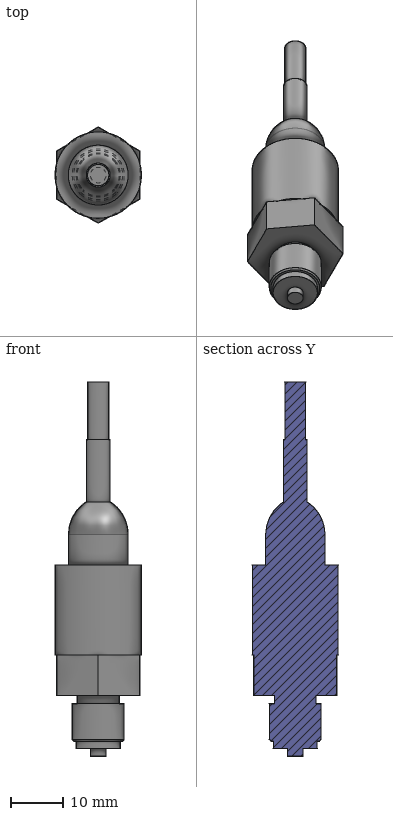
import cadquery as cq
import math

PIN_DIAMETER = 3.0
TIP_DIAMETER = 8.5
THREAD_DIAMETER = 10.0
NECK_DIAMETER = 8.1
HEX_ACROSS_FLATS = 16.0
HEX_SIDES = 6
SLEEVE_DIAMETER = 16.6
BOOT_DIAMETER = 11.5
STEM_DIAMETER = 4.6
CABLE_DIAMETER = 4.1

PIN_LENGTH = 1.5
TIP_LENGTH = 1.4
THREAD_LENGTH = 7.25
NECK_LENGTH = 1.5
HEX_LENGTH = 7.8
SLEEVE_LENGTH = 17.35
BOOT_LENGTH = 5.8
DOME_LENGTH = 6.3
STEM_LENGTH = 11.95
CABLE_LENGTH = 11.1

THREAD_CHAMFER = 0.3

TIP_Z = PIN_LENGTH
THREAD_Z = TIP_Z + TIP_LENGTH
NECK_Z = THREAD_Z + THREAD_LENGTH
HEX_Z = NECK_Z + NECK_LENGTH
SLEEVE_Z = HEX_Z + HEX_LENGTH
BOOT_Z = SLEEVE_Z + SLEEVE_LENGTH
DOME_Z = BOOT_Z + BOOT_LENGTH
STEM_Z = DOME_Z + DOME_LENGTH
CABLE_Z = STEM_Z + STEM_LENGTH


def cylinder(diameter, length, bottom_z):
    return cq.Workplane("XY").workplane(offset=bottom_z).circle(diameter / 2).extrude(length)


def threaded_end():
    """Plain thread envelope, chamfered at its lower edge."""
    return cylinder(THREAD_DIAMETER, THREAD_LENGTH, THREAD_Z).faces("<Z").edges().chamfer(THREAD_CHAMFER)


def hexagon():
    """Wrench hexagon with two flats facing -X and +X and two corners on the Y axis."""
    corner_diameter = HEX_ACROSS_FLATS / math.cos(math.pi / HEX_SIDES)
    blank = cq.Workplane("XY").workplane(offset=HEX_Z).polygon(HEX_SIDES, corner_diameter).extrude(HEX_LENGTH)
    return blank.rotate((0, 0, 0), (0, 0, 1), 180 / HEX_SIDES)


def dome():
    """Rounded shoulder, tangent to the boot and ending at the stem diameter."""
    boot_radius = BOOT_DIAMETER / 2
    stem_radius = STEM_DIAMETER / 2
    inset = boot_radius - stem_radius
    arc_radius = (inset**2 + DOME_LENGTH**2) / (2 * inset)
    half_sweep = math.asin(DOME_LENGTH / arc_radius) / 2
    arc_center_x = boot_radius - arc_radius
    arc_middle = (
        arc_center_x + arc_radius * math.cos(half_sweep),
        DOME_Z + arc_radius * math.sin(half_sweep),
    )
    profile = (
        cq.Workplane("XZ")
        .moveTo(0, DOME_Z)
        .lineTo(boot_radius, DOME_Z)
        .threePointArc(arc_middle, (stem_radius, STEM_Z))
        .lineTo(0, STEM_Z)
        .close()
    )
    return profile.revolve(360, (0, 0, 0), (0, 1, 0))


result = (
    cylinder(PIN_DIAMETER, PIN_LENGTH, 0)
    .union(cylinder(TIP_DIAMETER, TIP_LENGTH, TIP_Z))
    .union(threaded_end())
    .union(cylinder(NECK_DIAMETER, NECK_LENGTH, NECK_Z))
    .union(hexagon())
    .union(cylinder(SLEEVE_DIAMETER, SLEEVE_LENGTH, SLEEVE_Z))
    .union(cylinder(BOOT_DIAMETER, BOOT_LENGTH, BOOT_Z))
    .union(dome())
    .union(cylinder(STEM_DIAMETER, STEM_LENGTH, STEM_Z))
    .union(cylinder(CABLE_DIAMETER, CABLE_LENGTH, CABLE_Z))
)